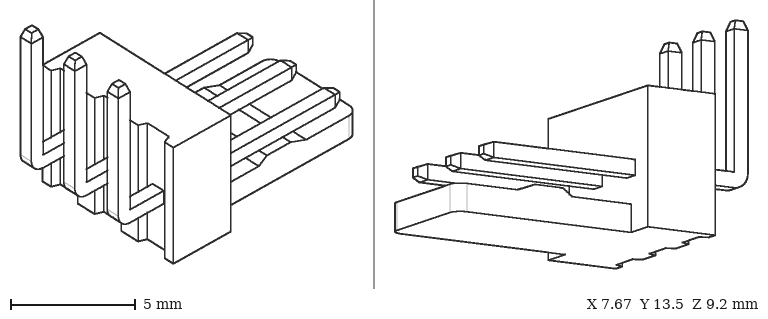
import cadquery as cq

HOUSING_WIDTH = 7.67
HOUSING_DEPTH = 3.18
HOUSING_HEIGHT = 5.8

GROOVE_MOUTH = 1.55
GROOVE_FLOOR = 1.26
GROOVE_DEPTH = 0.38

TONGUE_WIDTH = 5.07
TONGUE_END = 11.4
TONGUE_THICKNESS = 1.16
TONGUE_CORNER_RADIUS = 0.5
BUMP_HEIGHT = 0.31
BUMP_START = 5.94
BUMP_TOP_START = 6.38
BUMP_TOP_END = 7.69
BUMP_END = 8.55

OVERALL_LENGTH = 13.52
PIN_COUNT = 3
PIN_PITCH = 2.54
PIN_SIZE = 0.65
PIN_UNDERSIDE = 2.28
PIN_FRONT = TONGUE_END - OVERALL_LENGTH
PIN_BACK = 10.22
PIN_TOP = 9.2
TIP_LENGTH = 0.39
TIP_SIZE = 0.38

pin_positions = [(i - (PIN_COUNT - 1) / 2) * PIN_PITCH for i in range(PIN_COUNT)]


def make_housing():
    housing = cq.Workplane("XY").box(
        HOUSING_WIDTH, HOUSING_DEPTH, HOUSING_HEIGHT, centered=(True, False, False)
    )
    groove = (
        cq.Workplane("XY")
        .polyline([
            (-GROOVE_MOUTH / 2, 0),
            (GROOVE_MOUTH / 2, 0),
            (GROOVE_FLOOR / 2, GROOVE_DEPTH),
            (-GROOVE_FLOOR / 2, GROOVE_DEPTH),
        ])
        .close()
        .extrude(HOUSING_HEIGHT)
    )
    for x in pin_positions:
        housing = housing.cut(groove.translate((x, 0, 0)))
    return housing


def make_tongue():
    bump_top = TONGUE_THICKNESS + BUMP_HEIGHT
    root = HOUSING_DEPTH / 2
    return (
        cq.Workplane("YZ")
        .polyline([
            (root, 0),
            (TONGUE_END, 0),
            (TONGUE_END, TONGUE_THICKNESS),
            (BUMP_END, TONGUE_THICKNESS),
            (BUMP_TOP_END, bump_top),
            (BUMP_TOP_START, bump_top),
            (BUMP_START, TONGUE_THICKNESS),
            (root, TONGUE_THICKNESS),
        ])
        .close()
        .extrude(TONGUE_WIDTH / 2, both=True)
        .edges("|Z and >Y")
        .fillet(TONGUE_CORNER_RADIUS)
    )


def make_tip(base):
    """Tapered square tip standing on a workplane centred on the pin end."""
    return (
        base.rect(PIN_SIZE, PIN_SIZE)
        .workplane(offset=TIP_LENGTH)
        .rect(TIP_SIZE, TIP_SIZE)
        .loft(combine=False)
    )


def make_pin():
    shaft_end = PIN_BACK - TIP_LENGTH
    leg_end = PIN_TOP - TIP_LENGTH
    body = (
        cq.Workplane("YZ")
        .polyline([
            (PIN_FRONT, PIN_UNDERSIDE),
            (shaft_end, PIN_UNDERSIDE),
            (shaft_end, PIN_UNDERSIDE + PIN_SIZE),
            (PIN_FRONT + PIN_SIZE, PIN_UNDERSIDE + PIN_SIZE),
            (PIN_FRONT + PIN_SIZE, leg_end),
            (PIN_FRONT, leg_end),
        ])
        .close()
        .extrude(PIN_SIZE / 2, both=True)
        .edges("|X and <Y and <Z")
        .fillet(PIN_SIZE)
    )
    shaft_centre = cq.Vector(0, shaft_end, PIN_UNDERSIDE + PIN_SIZE / 2)
    leg_centre = cq.Vector(0, PIN_FRONT + PIN_SIZE / 2, leg_end)
    back_plane = cq.Plane(origin=shaft_centre, xDir=(1, 0, 0), normal=(0, 1, 0))
    top_plane = cq.Plane(origin=leg_centre, xDir=(1, 0, 0), normal=(0, 0, 1))
    return body.union(make_tip(cq.Workplane(back_plane))).union(make_tip(cq.Workplane(top_plane)))


result = make_housing().union(make_tongue())
pin = make_pin()
for x in pin_positions:
    result = result.union(pin.translate((x, 0, 0)))